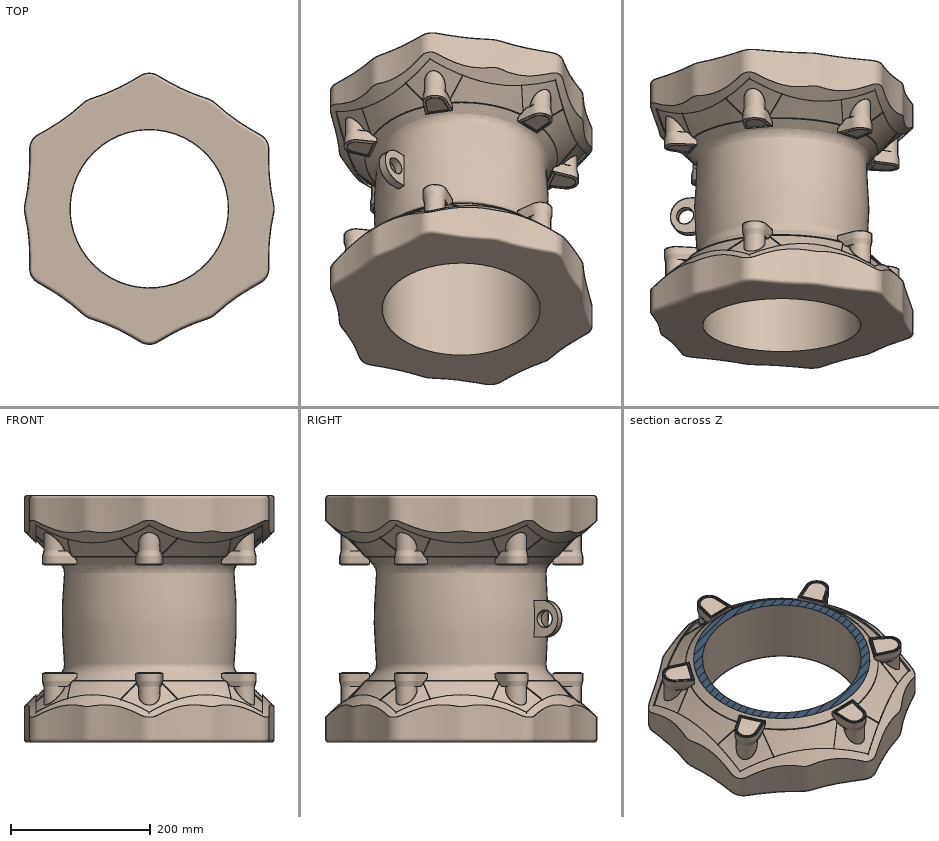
import cadquery as cq
import math

height = 354.0
width_over_crests = 358.5
bore_diameter = 227.0

corner_radius = 194.5
flat_distance = 171.5
side_count = 6
crest_half_width = 7.8
hollow_start = 68.5
flange_edge_fillet = 4.5

rim_edge_z = 141.3
recess_depth = 4.5
pad_height = 1.0
rim_hexagon_apothem = 162.3
pad_inner_radius = 138.0
socket_apex_radius = 125.5
socket_half_angle = 50.0

neck_mid_radius = 125.0
neck_end_radius = 121.0
neck_root_fillet = 14.5

bolt_circle_radius = 157.2
bolt_shaft_radius = 15.0
bolt_head_radius = 17.0
bolt_back_radius = 131.5
head_side_flare = 6.0
head_rim_z = 78.5
head_seat_z = 89.5
collar_z = 97.3
head_bevel_height = 1.5
head_bevel_width = 4.0
head_pocket_depth = 2.0

eye_angle = 60.0
eye_radius = 26.5
eye_hole_diameter = 25.0
eye_centre_radius = 137.0
eye_hole_centre_radius = 141.5
eye_thickness = 12.0

half_height = height / 2
bore_radius = bore_diameter / 2
crest_distance = width_over_crests / 2
side_step = 360 // side_count
half_step = side_step // 2
side_angles = [i * side_step for i in range(side_count)]
corner_angles = [angle + half_step for angle in side_angles]
cone_apex = corner_radius - rim_edge_z
outer_reach = 1.05 * corner_radius


def cone_z(radius, depth):
    """Height of a 45 degree cone that lies a given depth below the rim cone."""
    return cone_apex - depth - radius


def turned(point, angle):
    """Rotate a plane point about the origin by an angle in degrees."""
    a = math.radians(angle)
    x, y = point
    return (x * math.cos(a) - y * math.sin(a), x * math.sin(a) + y * math.cos(a))


def on_circle(centre, radius, angle):
    a = math.radians(angle)
    return (centre[0] + radius * math.cos(a), centre[1] + radius * math.sin(a))


def flange_outline():
    half_side = math.radians(half_step)
    secant = 1 / math.cos(half_side)
    round_radius = (flat_distance * secant - corner_radius) / (secant - 1)
    round_start = (flat_distance - round_radius) * math.tan(half_side)

    rise = crest_distance - flat_distance
    slope = 2 * math.atan(rise / hollow_start)
    hollow_radius = (hollow_start - crest_half_width) / math.sin(slope)
    joint_x = flat_distance + hollow_radius * (1 - math.cos(slope))
    hollow_mid_x = flat_distance + hollow_radius * (1 - math.cos(slope / 2))
    hollow_mid_y = hollow_start - hollow_radius * math.sin(slope / 2)

    outline = cq.Workplane("XY").moveTo(flat_distance, -round_start)
    for angle in side_angles:
        outline = (
            outline.lineTo(*turned((flat_distance, -hollow_start), angle))
            .threePointArc(
                turned((hollow_mid_x, -hollow_mid_y), angle),
                turned((joint_x, -crest_half_width), angle),
            )
            .threePointArc(
                turned((crest_distance, 0), angle),
                turned((joint_x, crest_half_width), angle),
            )
            .threePointArc(
                turned((hollow_mid_x, hollow_mid_y), angle),
                turned((flat_distance, hollow_start), angle),
            )
            .lineTo(*turned((flat_distance, round_start), angle))
            .threePointArc(
                turned((corner_radius, 0), angle + half_step),
                turned((flat_distance, -round_start), angle + side_step),
            )
        )
    return outline.close()


def cone_body(depth):
    """Solid below a 45 degree cone, down to the flange face."""
    return (
        cq.Workplane("XZ")
        .moveTo(0, -half_height)
        .lineTo(outer_reach, -half_height)
        .lineTo(outer_reach, cone_z(outer_reach, depth))
        .lineTo(0, cone_z(0, depth))
        .close()
        .revolve(360, (0, 0, 0), (0, 1, 0))
    )


def hexagon_prism():
    """Prism over the hexagon inside the rim, corners at the bolt angles."""
    circumscribed_diameter = 2 * rim_hexagon_apothem / math.cos(math.radians(half_step))
    return (
        cq.Workplane("XY")
        .transformed(rotate=(0, 0, half_step), offset=(0, 0, -half_height))
        .polygon(side_count, circumscribed_diameter)
        .extrude(height)
    )


def pads():
    """Raised pads between the bolt sockets."""
    region = hexagon_prism().cut(
        cq.Workplane("XY").circle(pad_inner_radius).extrude(height, both=True)
    )
    run = outer_reach - socket_apex_radius
    spread = run * math.tan(math.radians(socket_half_angle))
    for angle in corner_angles:
        socket = (
            cq.Workplane("XY")
            .polyline([(socket_apex_radius, 0), (outer_reach, spread), (outer_reach, -spread)])
            .close()
            .extrude(height, both=True)
            .rotate((0, 0, 0), (0, 0, 1), angle)
        )
        region = region.cut(socket)
    return region.intersect(cone_body(recess_depth - pad_height))


def bolt_profile(radius, z):
    """Round-nosed outline whose sides flare towards a flat back."""
    centre = (bolt_circle_radius, 0)
    back_half_width = (
        radius / math.cos(math.radians(head_side_flare))
        + (bolt_circle_radius - bolt_back_radius) * math.tan(math.radians(head_side_flare))
    )
    side_angle = 90 - head_side_flare
    return (
        cq.Workplane("XY")
        .workplane(offset=z)
        .moveTo(bolt_back_radius, -back_half_width)
        .lineTo(*on_circle(centre, radius, -side_angle))
        .threePointArc(
            (bolt_circle_radius + radius, 0),
            on_circle(centre, radius, side_angle),
        )
        .lineTo(bolt_back_radius, back_half_width)
        .close()
    )


def taper_angle(offset, length):
    """Draft angle that moves a side by offset over a length."""
    return math.degrees(math.atan(offset / length))


def bolt():
    """Bolt on the +X axis: shaft, widening collar and bevelled head with a sunken top."""
    shaft = (
        cq.Workplane("XY")
        .workplane(offset=-half_height + flange_edge_fillet)
        .center(bolt_circle_radius, 0)
        .circle(bolt_shaft_radius)
        .extrude(half_height - flange_edge_fillet - head_seat_z)
    )
    collar_height = collar_z - head_seat_z
    collar_taper = taper_angle(bolt_head_radius - bolt_shaft_radius, collar_height)
    collar = bolt_profile(bolt_shaft_radius, -collar_z).extrude(collar_height, taper=-collar_taper)

    head = bolt_profile(bolt_head_radius, -head_seat_z).extrude(head_seat_z - head_rim_z)
    bevel_taper = taper_angle(head_bevel_width, head_bevel_height)
    bevel = bolt_profile(bolt_head_radius, -head_rim_z).extrude(head_bevel_height, taper=bevel_taper)
    pocket = bevel.faces(">Z").wires().toPending().workplane().extrude(-head_pocket_depth, combine=False)
    return shaft.union(collar).union(head).union(bevel).cut(pocket)


def rim():
    """Lower flange rim outside the hexagon."""
    plate = flange_outline().extrude(half_height).translate((0, 0, -half_height))
    plate = plate.faces("<Z").edges().fillet(flange_edge_fillet)
    return plate.intersect(cone_body(0)).cut(hexagon_prism())


def core():
    """Neck and both recess cones inside the hexagon, bored through."""
    root_z = cone_z(neck_end_radius, recess_depth)
    edge_z = cone_z(outer_reach, recess_depth)
    body = (
        cq.Workplane("XZ")
        .moveTo(bore_radius, -half_height)
        .lineTo(outer_reach, -half_height)
        .lineTo(outer_reach, edge_z)
        .lineTo(neck_end_radius, root_z)
        .threePointArc((neck_mid_radius, 0), (neck_end_radius, -root_z))
        .lineTo(outer_reach, -edge_z)
        .lineTo(outer_reach, half_height)
        .lineTo(bore_radius, half_height)
        .close()
        .revolve(360, (0, 0, 0), (0, 1, 0))
    )
    roots = cq.selectors.RadiusNthSelector(1)
    body = body.edges("%CIRCLE").edges(roots).fillet(neck_root_fillet)
    return body.intersect(hexagon_prism())


def lifting_eye():
    """Upright ring plate that stands radially on the neck."""
    plate = (
        cq.Workplane("XZ")
        .center(eye_centre_radius, 0)
        .circle(eye_radius)
        .extrude(eye_thickness / 2, both=True)
        .union(
            cq.Workplane("XY")
            .box(eye_centre_radius - bore_radius, eye_thickness, 2 * eye_radius)
            .translate(((eye_centre_radius + bore_radius) / 2, 0, 0))
        )
    )
    hole = (
        cq.Workplane("XZ")
        .center(eye_hole_centre_radius, 0)
        .circle(eye_hole_diameter / 2)
        .extrude(eye_thickness, both=True)
    )
    return plate.cut(hole).rotate((0, 0, 0), (0, 0, 1), eye_angle)


bore = cq.Workplane("XY").circle(bore_radius).extrude(height, both=True)
lower_details = rim().union(pads())
for angle in corner_angles:
    lower_details = lower_details.union(bolt().rotate((0, 0, 0), (0, 0, 1), angle))
lower_details = lower_details.cut(bore)

result = core().union(lower_details).union(lower_details.mirror("XY")).union(lifting_eye().cut(bore))